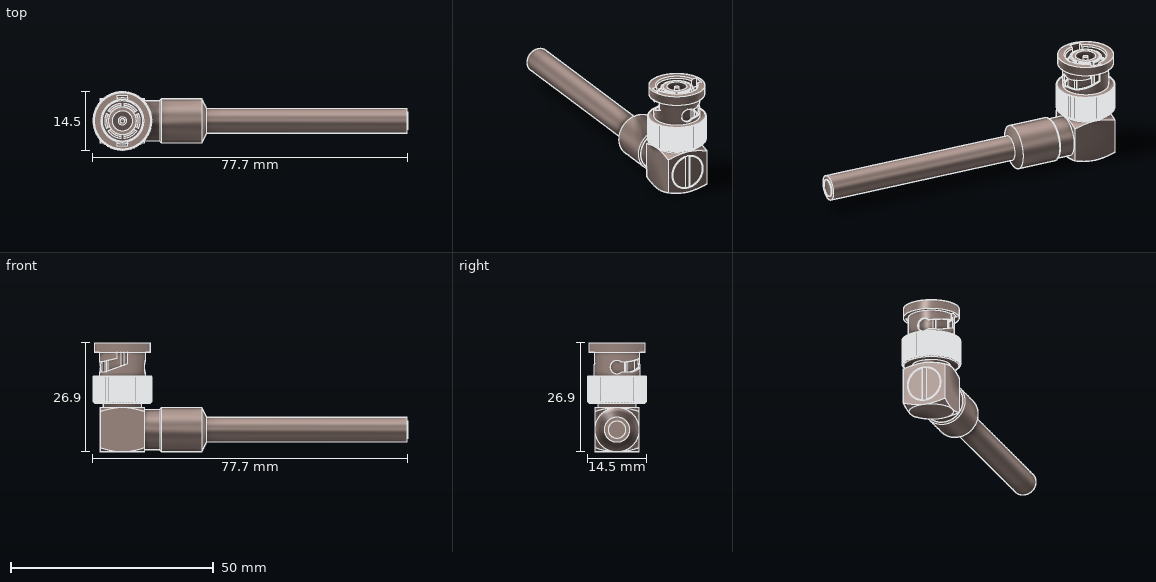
import cadquery as cq
import math


KNURL_DIA = 14.5
TOTAL_LENGTH = 77.65
TOTAL_HEIGHT = 26.9
CABLE_END_X = TOTAL_LENGTH - KNURL_DIA / 2

BODY_SIZE = 10.95
BODY_HALF = BODY_SIZE / 2
CABLE_AXIS_Z = BODY_HALF
CORNER_DROP = 1.0

CAP_DIA = 8.7
CAP_RING_WIDTH = 0.15
CAP_RING_DEPTH = 0.15
CAP_SLOT_WIDTH = 1.2
CAP_SLOT_DEPTH = 0.4

COLLAR_DIA = 10.0
COLLAR_END_X = 9.25
FERRULE_DIA = BODY_SIZE
FERRULE_CHAMFER = 0.4
FERRULE_END_X = 19.6
TAPER_END_X = 20.7
CABLE_DIA = 6.2
CABLE_CORE_DIA = 4.3
CABLE_CORE_STICKOUT = 0.2

NECK_DIA = 9.5
NUT_BOTTOM_Z = 11.95
NUT_TOP_Z = 18.6
NUT_BOTTOM_CHAMFER = 0.5
NUT_TOP_CHAMFER = 0.15
KNURL_TEETH = 120
KNURL_DEPTH = 0.2
SLEEVE_DIA = 11.4
FLANGE_DIA = 13.8
FLANGE_THICKNESS = 2.3
FLANGE_BOTTOM_Z = TOTAL_HEIGHT - FLANGE_THICKNESS
BORE_DIA = 10.55
BORE_STEP_DIA = 9.9
LIP_DIA = 10.0
LIP_TAPER_HEIGHT = 0.5
BORE_FLOOR_Z = 17.1

ENTRY_WIDTH = 2.6
ENTRY_FLOOR_Z = 21.75
ENTRY_ROOF_Z = 23.05
ENTRY_OUTER_RADIUS = 6.2
DETENT_DIA = 3.3
DETENT_Z = 20.9
TRACK_WIDTH = 2.4
TRACK_FLOOR_FLAT_X = -4.35
TRACK_ROOF_FLAT_X = -5.4

CONTACT_DIA = 8.7
CONTACT_TOP_Z = 26.3
CONTACT_TAPER_WIDTH = 0.5
CONTACT_TAPER_HEIGHT = 1.25
SLIT_COUNT = 6
SLIT_WIDTH = 0.8
FIRST_SLIT_ANGLE = 90
INSULATOR_DIA = 6.8
INSULATOR_TOP_Z = 26.55
INSULATOR_BORE_DIA = 5.0
INSULATOR_FLOOR_Z = 18.6
PIN_DIA = 1.2
PIN_TOP_Z = 26.5
PIN_TIP_DIA = 0.2
PIN_TIP_LENGTH = 0.15
PIN_BASE_DIA = 2.0
PIN_BASE_HEIGHT = 0.8


def cylinder(diameter, bottom_z, top_z):
    """Solid cylinder on the Z axis between two heights."""
    return cq.Workplane("XY").workplane(offset=bottom_z).circle(diameter / 2).extrude(top_z - bottom_z)


def turned(profile):
    """Revolve a closed (radius, height) outline about the Z axis."""
    return cq.Workplane("XZ").polyline(profile).close().revolve(360, (0, 0), (0, 1))


def make_body():
    """Square block with both ends trimmed by cones, like a hexagon nut."""
    block = cq.Workplane("XY").box(BODY_SIZE, BODY_SIZE, BODY_SIZE).translate((0, 0, CABLE_AXIS_Z))
    corner_radius = BODY_HALF * math.sqrt(2)
    envelope = turned([
        (0, 0),
        (BODY_HALF, 0),
        (corner_radius, CORNER_DROP),
        (corner_radius, BODY_SIZE - CORNER_DROP),
        (BODY_HALF, BODY_SIZE),
        (0, BODY_SIZE),
    ])
    body = block.intersect(envelope)

    face = cq.Workplane("YZ", origin=(-BODY_HALF, 0, CABLE_AXIS_Z))
    ring = face.circle(CAP_DIA / 2).circle(CAP_DIA / 2 - CAP_RING_WIDTH).extrude(CAP_RING_DEPTH)
    slot = face.rect(CAP_SLOT_WIDTH, CAP_DIA).extrude(CAP_SLOT_DEPTH)
    slot = slot.intersect(face.circle(CAP_DIA / 2).extrude(CAP_SLOT_DEPTH))
    return body.cut(ring).cut(slot)


def make_cable_side():
    """Collar, crimp ferrule, taper and cable, turned about the cable axis."""
    collar_radius = COLLAR_DIA / 2
    ferrule_radius = FERRULE_DIA / 2
    cable_radius = CABLE_DIA / 2
    core_radius = CABLE_CORE_DIA / 2
    jacket_end_x = CABLE_END_X - CABLE_CORE_STICKOUT
    profile = [
        (0, 0),
        (0, collar_radius),
        (COLLAR_END_X, collar_radius),
        (COLLAR_END_X, ferrule_radius - FERRULE_CHAMFER),
        (COLLAR_END_X + FERRULE_CHAMFER, ferrule_radius),
        (FERRULE_END_X, ferrule_radius),
        (TAPER_END_X, cable_radius),
        (jacket_end_x, cable_radius),
        (jacket_end_x, core_radius),
        (CABLE_END_X, core_radius),
        (CABLE_END_X, 0),
    ]
    side = cq.Workplane("XZ").polyline(profile).close().revolve(360, (0, 0), (1, 0))
    return side.translate((0, 0, CABLE_AXIS_Z))


def make_nut():
    """Knurled coupling nut with chamfered ends."""
    outer = KNURL_DIA / 2
    points = []
    for i in range(2 * KNURL_TEETH):
        radius = outer - KNURL_DEPTH * (i % 2)
        angle = math.pi * i / KNURL_TEETH
        points.append((radius * math.cos(angle), radius * math.sin(angle)))
    height = NUT_TOP_Z - NUT_BOTTOM_Z
    toothed = cq.Workplane("XY").workplane(offset=NUT_BOTTOM_Z).polyline(points).close().extrude(height)
    envelope = cylinder(KNURL_DIA, NUT_BOTTOM_Z, NUT_TOP_Z)
    envelope = envelope.faces("<Z").chamfer(NUT_BOTTOM_CHAMFER)
    envelope = envelope.faces(">Z").chamfer(NUT_TOP_CHAMFER)
    return toothed.intersect(envelope)


def make_bayonet_cut():
    """One entry slot at -Y, its sloping track and the detent hole at -X."""
    half_width = ENTRY_WIDTH / 2
    entry = cq.Workplane("XY").box(
        ENTRY_WIDTH, ENTRY_OUTER_RADIUS, TOTAL_HEIGHT - ENTRY_FLOOR_Z, centered=(True, False, False)
    ).translate((0, -ENTRY_OUTER_RADIUS, ENTRY_FLOOR_Z))

    track_floor = DETENT_Z - TRACK_WIDTH / 2
    track_roof = DETENT_Z + TRACK_WIDTH / 2
    track = cq.Workplane("XZ").polyline([
        (half_width, ENTRY_FLOOR_Z),
        (TRACK_FLOOR_FLAT_X, track_floor),
        (-ENTRY_OUTER_RADIUS, track_floor),
        (-ENTRY_OUTER_RADIUS, track_roof),
        (TRACK_ROOF_FLAT_X, track_roof),
        (-half_width, ENTRY_ROOF_Z),
        (half_width, ENTRY_ROOF_Z),
    ]).close().extrude(ENTRY_OUTER_RADIUS)

    detent = cq.Workplane("YZ").center(0, DETENT_Z).circle(DETENT_DIA / 2).extrude(-ENTRY_OUTER_RADIUS)
    return entry.union(track).union(detent)


def make_shell():
    """Nut, sleeve and flange, bored out and cut twice for the bayonet pins."""
    shell = cylinder(NECK_DIA, CABLE_AXIS_Z, NUT_TOP_Z).union(make_nut())
    shell = shell.union(cylinder(SLEEVE_DIA, NUT_BOTTOM_Z, TOTAL_HEIGHT))
    shell = shell.union(cylinder(FLANGE_DIA, FLANGE_BOTTOM_Z, TOTAL_HEIGHT))

    bore = turned([
        (0, BORE_FLOOR_Z),
        (BORE_STEP_DIA / 2, BORE_FLOOR_Z),
        (BORE_STEP_DIA / 2, NUT_TOP_Z),
        (BORE_DIA / 2, NUT_TOP_Z),
        (BORE_DIA / 2, FLANGE_BOTTOM_Z),
        (LIP_DIA / 2, FLANGE_BOTTOM_Z),
        (LIP_DIA / 2, TOTAL_HEIGHT - LIP_TAPER_HEIGHT),
        (BORE_DIA / 2, TOTAL_HEIGHT),
        (0, TOTAL_HEIGHT),
    ])
    shell = shell.cut(bore)
    bayonet_cut = make_bayonet_cut()
    for angle in (0, 180):
        shell = shell.cut(bayonet_cut.rotate((0, 0, 0), (0, 0, 1), angle))
    return shell


def make_contacts():
    """Slit outer contact around a hollow insulator with the centre pin."""
    contact = cylinder(CONTACT_DIA, NUT_BOTTOM_Z, CONTACT_TOP_Z)
    contact = contact.faces(">Z").chamfer(CONTACT_TAPER_HEIGHT, CONTACT_TAPER_WIDTH)
    slit_height = CONTACT_TOP_Z - BORE_FLOOR_Z
    slit = cq.Workplane("XY").box(CONTACT_DIA, SLIT_WIDTH, slit_height, centered=(False, True, False))
    slit = slit.translate((0, 0, BORE_FLOOR_Z))
    for i in range(SLIT_COUNT):
        contact = contact.cut(slit.rotate((0, 0, 0), (0, 0, 1), FIRST_SLIT_ANGLE + i * 360 / SLIT_COUNT))

    core = contact.union(cylinder(INSULATOR_DIA, NUT_BOTTOM_Z, INSULATOR_TOP_Z))
    core = core.cut(cylinder(INSULATOR_BORE_DIA, INSULATOR_FLOOR_Z, INSULATOR_TOP_Z))

    base_top_z = INSULATOR_FLOOR_Z + PIN_BASE_HEIGHT
    pin = turned([
        (0, NUT_BOTTOM_Z),
        (PIN_BASE_DIA / 2, NUT_BOTTOM_Z),
        (PIN_BASE_DIA / 2, base_top_z),
        (PIN_DIA / 2, base_top_z),
        (PIN_DIA / 2, PIN_TOP_Z - PIN_TIP_LENGTH),
        (PIN_TIP_DIA / 2, PIN_TOP_Z),
        (0, PIN_TOP_Z),
    ])
    return core.union(pin)


result = make_body().union(make_cable_side()).union(make_shell()).union(make_contacts())